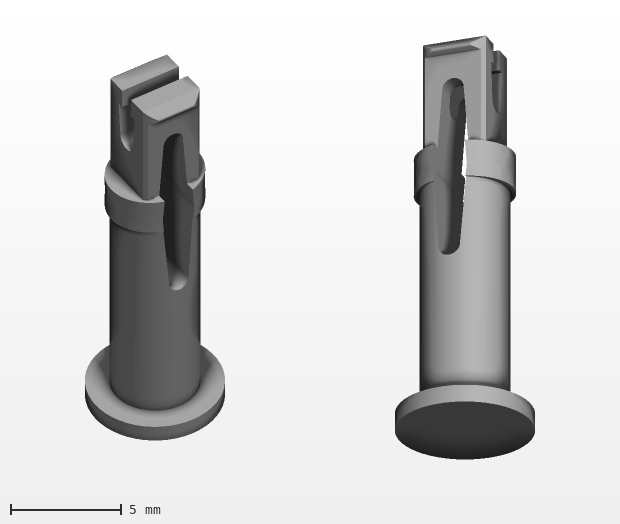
import cadquery as cq
import math

FLANGE_DIAMETER = 6.35
FLANGE_THICKNESS = 0.83
BARREL_DIAMETER = 4.13
TOTAL_HEIGHT = 18.81

COLLAR_BOTTOM = 11.7
COLLAR_TOP = 13.5
COLLAR_SEMI_X = 2.1
COLLAR_SEMI_Y = 2.35

HEAD_WIDTH = 3.05
HEAD_CORNER_RADIUS = 2.04
LIP_REACH = 1.81
LIP_ROUND_RADIUS = 0.115
LIP_LEAD_IN_ANGLE = math.radians(45)
LIP_UNDERSIDE_ANGLE = math.radians(30)

SLOT_END_RADIUS = 0.52
MOUTH_WIDTH = 0.74
MOUTH_DEPTH = 0.99
HEAD_SLOT_WIDTH = 1.33
HEAD_SLOT_DEPTH = 3.25
SIDE_SLOT_TOP = 16.87
SIDE_SLOT_BOTTOM = 7.87
SIDE_SLOT_WIDTH = 1.68

CUT_LENGTH = 2 * FLANGE_DIAMETER


def tapered_slot_half(plane, wide_z, wide_half, end_z):
    """Through cutter from its widest level to a round end that is tangent to the tapered walls."""
    direction = math.copysign(1, end_z - wide_z)
    centre_distance = abs(end_z - wide_z) - SLOT_END_RADIUS
    axis_angle = math.atan2(centre_distance, wide_half)
    normal_angle = math.acos(SLOT_END_RADIUS / math.hypot(wide_half, centre_distance)) - axis_angle
    tangent_half = SLOT_END_RADIUS * math.cos(normal_angle)
    tangent_z = wide_z + direction * (centre_distance + SLOT_END_RADIUS * math.sin(normal_angle))
    return (
        cq.Workplane(plane)
        .moveTo(-wide_half, wide_z)
        .lineTo(-tangent_half, tangent_z)
        .threePointArc((0, end_z), (tangent_half, tangent_z))
        .lineTo(wide_half, wide_z)
        .close()
        .extrude(CUT_LENGTH / 2, both=True)
    )


def make_stem():
    """Flange, barrel and collar."""
    flange = cq.Workplane("XY").circle(FLANGE_DIAMETER / 2).extrude(FLANGE_THICKNESS)
    barrel = cq.Workplane("XY").circle(BARREL_DIAMETER / 2).extrude(COLLAR_TOP)
    collar = (
        cq.Workplane("XY")
        .workplane(offset=COLLAR_BOTTOM)
        .ellipse(COLLAR_SEMI_X, COLLAR_SEMI_Y)
        .extrude(COLLAR_TOP - COLLAR_BOTTOM)
    )
    return flange.union(barrel).union(collar)


def make_lip_side():
    """Half of the head (X > 0): sloped lead-in, rounded lip tip and sloped underside."""
    half_width = HEAD_WIDTH / 2
    top_half_width = math.sqrt(HEAD_CORNER_RADIUS**2 - half_width**2)
    round_centre_x = LIP_REACH - LIP_ROUND_RADIUS
    lead_in_drop = (round_centre_x - top_half_width) * math.tan(LIP_LEAD_IN_ANGLE)
    round_centre_z = TOTAL_HEIGHT - lead_in_drop - LIP_ROUND_RADIUS / math.cos(LIP_LEAD_IN_ANGLE)

    def point_on_round(angle):
        x = round_centre_x + LIP_ROUND_RADIUS * math.cos(angle)
        z = round_centre_z + LIP_ROUND_RADIUS * math.sin(angle)
        return x, z

    round_top = point_on_round(math.pi / 2 - LIP_LEAD_IN_ANGLE)
    round_tip = point_on_round(0)
    round_bottom = point_on_round(LIP_UNDERSIDE_ANGLE - math.pi / 2)
    root_drop = (round_bottom[0] - half_width) * math.tan(LIP_UNDERSIDE_ANGLE)
    root_z = round_bottom[1] - root_drop
    return (
        cq.Workplane("XZ")
        .moveTo(0, COLLAR_BOTTOM)
        .lineTo(half_width, COLLAR_BOTTOM)
        .lineTo(half_width, root_z)
        .lineTo(*round_bottom)
        .threePointArc(round_tip, round_top)
        .lineTo(top_half_width, TOTAL_HEIGHT)
        .lineTo(0, TOTAL_HEIGHT)
        .close()
        .extrude(half_width, both=True)
    )


def make_head():
    """Head with a lip on both sides; the corner rounding runs on across the ends of the lips."""
    lip_side = make_lip_side()
    envelope = cq.Workplane("XY").circle(HEAD_CORNER_RADIUS).extrude(TOTAL_HEIGHT)
    return lip_side.union(lip_side.mirror("YZ")).intersect(envelope)


def make_head_slot():
    """Slot along Y: a narrow mouth above a wider tapered throat."""
    mouth = (
        cq.Workplane("XY")
        .workplane(offset=TOTAL_HEIGHT - MOUTH_DEPTH)
        .rect(MOUTH_WIDTH, CUT_LENGTH)
        .extrude(MOUTH_DEPTH)
    )
    throat = tapered_slot_half(
        "XZ", TOTAL_HEIGHT - MOUTH_DEPTH, HEAD_SLOT_WIDTH / 2, TOTAL_HEIGHT - HEAD_SLOT_DEPTH
    )
    return mouth.union(throat)


def make_side_slot():
    """Slot along X, widest at mid-height and tapering to both ends."""
    middle = (SIDE_SLOT_TOP + SIDE_SLOT_BOTTOM) / 2
    upper = tapered_slot_half("YZ", middle, SIDE_SLOT_WIDTH / 2, SIDE_SLOT_TOP)
    lower = tapered_slot_half("YZ", middle, SIDE_SLOT_WIDTH / 2, SIDE_SLOT_BOTTOM)
    return upper.union(lower)


result = make_stem().union(make_head()).cut(make_head_slot()).cut(make_side_slot())